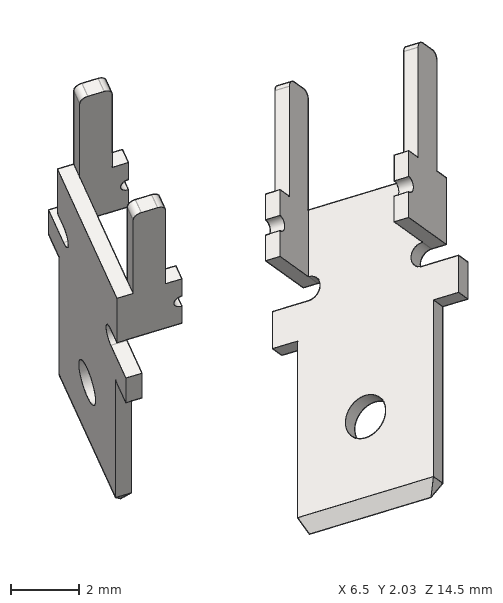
import cadquery as cq


thickness = 0.508
total_height = 14.48
total_depth = 4 * thickness

blade_width = 4.75
tip_length = thickness
tip_inset = thickness / 2
hole_diameter = 1.4

shoulder_width = 6.5
shoulder_bottom = 6.35
shoulder_top = 7.58
slot_height = 0.79
slot_radius = slot_height / 2
slot_end_x = 1.59

body_width = 5.0
body_bottom = shoulder_top + slot_height
body_top = 10.58

pin_width = 2 * thickness
pin_corner_radius = thickness / 2
notch_radius = 0.25

hole_height = shoulder_bottom / 2
pin_center_y = total_depth / 2
notch_height = (body_bottom + body_top) / 2


def make_plate():
    """Front sheet: blade, shoulders and the front of the folded body."""
    half_outline = [
        (0, 0),
        (blade_width / 2 - tip_inset, 0),
        (blade_width / 2, tip_length),
        (blade_width / 2, shoulder_bottom),
        (shoulder_width / 2, shoulder_bottom),
        (shoulder_width / 2, shoulder_top),
    ]
    slot_center_x = slot_end_x + slot_radius
    half = (
        cq.Workplane("XZ")
        .polyline(half_outline)
        .lineTo(slot_center_x, shoulder_top)
        .threePointArc((slot_end_x, shoulder_top + slot_radius), (slot_center_x, body_bottom))
        .lineTo(body_width / 2, body_bottom)
        .lineTo(body_width / 2, body_top)
        .lineTo(0, body_top)
        .close()
        .extrude(-thickness)
    )
    return half.union(half.mirror("YZ")).clean()


def make_side_envelope():
    """Side profile of the sheet, sharpened to a central edge at the tip."""
    return (
        cq.Workplane("YZ")
        .moveTo(thickness / 2, 0)
        .lineTo(thickness, tip_length)
        .lineTo(thickness, body_top)
        .lineTo(0, body_top)
        .lineTo(0, tip_length)
        .close()
        .extrude(shoulder_width / 2, both=True)
    )


def make_hole():
    """Detent hole through the blade."""
    return (
        cq.Workplane("XZ")
        .center(0, hole_height)
        .circle(hole_diameter / 2)
        .extrude(-thickness)
    )


def make_wall(left_x):
    """Folded side wall with its pin and rear notch, starting at left_x."""
    side_plane = cq.Workplane("YZ", origin=(left_x, 0, 0))
    wall = (
        side_plane
        .center(total_depth / 2, notch_height)
        .rect(total_depth, body_top - body_bottom)
        .extrude(thickness)
    )
    pin = (
        side_plane
        .center(pin_center_y, (body_bottom + total_height) / 2)
        .rect(pin_width, total_height - body_bottom)
        .extrude(thickness)
        .edges("|X and >Z")
        .fillet(pin_corner_radius)
    )
    notch = (
        side_plane
        .center(total_depth, notch_height)
        .circle(notch_radius)
        .extrude(thickness)
    )
    return wall.union(pin).cut(notch)


result = make_plate().intersect(make_side_envelope()).cut(make_hole())
for wall_left_x in (-body_width / 2, body_width / 2 - thickness):
    result = result.union(make_wall(wall_left_x))
result = result.clean()